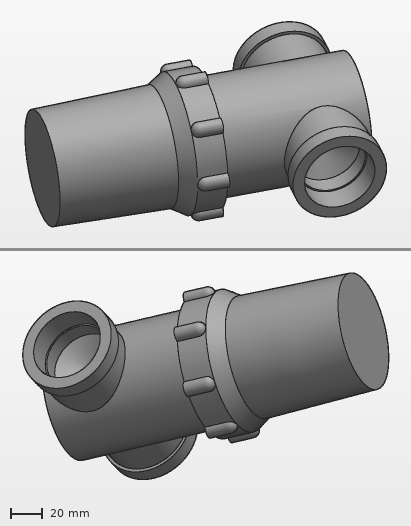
import cadquery as cq
import math


overall_length = 208.0
overall_width = 128.7

barrel_radius = 39.3
barrel_back = 29.1
port_radius = 29.0
flange_radius = 31.0
flange_length = 10.8
socket_radius = 23.3
socket_depth = 17.3
bore_radius = 22.3
bore_depth = 29.1
bore_tip_angle = 118.0

collar_offset = 68.6
collar_radius = 46.4
collar_length = 20.0
shoulder_length = 10.6
cup_top_radius = 40.0
cup_bottom_radius = 37.8
lug_count = 8
lug_radius = 5.0
lug_tip_diameter = 102.1

port_end = overall_width / 2
collar_back = -collar_offset
collar_front = collar_back - collar_length
cup_top = collar_front - shoulder_length
cup_bottom = flange_radius - overall_length
lug_centre_radius = lug_tip_diameter / 2 - lug_radius
lug_straight_length = collar_length - lug_radius
bore_tip_length = bore_radius / math.tan(math.radians(bore_tip_angle / 2))


def port_blank():
    """Solid +X port: a pipe from the barrel axis with a flange on its end."""
    flange_start = port_end - flange_length
    pipe = cq.Workplane("YZ").circle(port_radius).extrude(flange_start)
    flange = cq.Workplane("YZ", origin=(flange_start, 0, 0)).circle(flange_radius).extrude(flange_length)
    return pipe.union(flange)


def port_bore():
    """Stepped blind hole of the +X port, ending in a conical tip."""
    step = port_end - socket_depth
    floor = port_end - bore_depth
    return (
        cq.Workplane("XY")
        .moveTo(port_end, 0)
        .lineTo(port_end, socket_radius)
        .lineTo(step, socket_radius)
        .lineTo(step, bore_radius)
        .lineTo(floor, bore_radius)
        .lineTo(floor - bore_tip_length, 0)
        .close()
        .revolve(360, (0, 0, 0), (1, 0, 0))
    )


def make_housing():
    """Barrel that meets the bowl collar, with a port on each side."""
    housing = (
        cq.Workplane("XZ", origin=(0, barrel_back, 0))
        .circle(barrel_radius)
        .extrude(barrel_back - collar_back)
    )
    for blank_side in (port_blank(), port_blank().mirror("YZ")):
        housing = housing.union(blank_side)
    for bore_side in (port_bore(), port_bore().mirror("YZ")):
        housing = housing.cut(bore_side)
    return housing


def grip_lug(angle):
    """Round lug along the collar with a ball tip, turned about the Y axis."""
    rod = (
        cq.Workplane("XZ", origin=(lug_centre_radius, collar_back, 0))
        .circle(lug_radius)
        .extrude(lug_straight_length)
    )
    tip_place = (lug_centre_radius, collar_back - lug_straight_length, 0)
    tip = cq.Workplane("XY").sphere(lug_radius).translate(tip_place)
    return rod.union(tip).rotate((0, 0, 0), (0, 1, 0), angle)


def make_bowl():
    """Collar, conical shoulder and tapered cup in one turned body, with grip lugs."""
    bowl = (
        cq.Workplane("XY")
        .moveTo(0, collar_back)
        .lineTo(collar_radius, collar_back)
        .lineTo(collar_radius, collar_front)
        .lineTo(cup_top_radius, cup_top)
        .lineTo(cup_bottom_radius, cup_bottom)
        .lineTo(0, cup_bottom)
        .close()
        .revolve(360, (0, 0, 0), (0, 1, 0))
    )
    for index in range(lug_count):
        bowl = bowl.union(grip_lug(index * 360 / lug_count))
    return bowl


housing = make_housing()
bowl = make_bowl()
result = cq.Compound.makeCompound([housing.solids().val(), bowl.solids().val()])